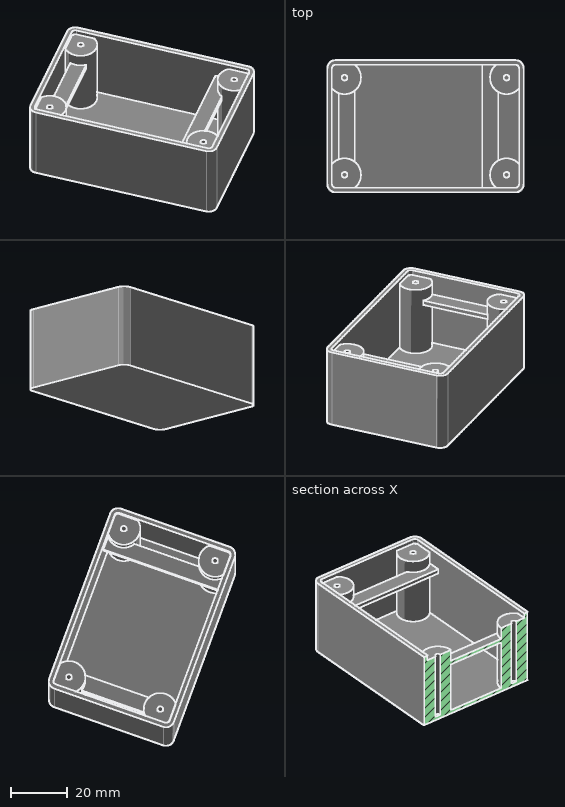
import cadquery as cq

length = 69.0
width = 46.5
height = 28.8
corner_radius = 3.0
wall = 1.65
floor = 1.65
inner_radius = corner_radius - wall

post_radius = 5.8
post_inset_x = 6.1
post_inset_y = 6.2
post_top = height - 1.85
screw_hole_diameter = 2.0
screw_hole_bottom = floor

bar_width = 5.6
bar_thickness = 1.7
bar_top = post_top - 4.55
left_bar_start = 4.1
right_bar_start = 54.45


def rounded_block(inset, bottom, top, radius):
    """Upright block, inset evenly from the outer walls, with rounded corners."""
    block = cq.Workplane("XY").box(
        length - 2 * inset, width - 2 * inset, top - bottom, centered=False
    )
    return block.edges("|Z").fillet(radius).translate((inset, inset, bottom))


def cross_bar(start):
    """Flat bar spanning the width, its ends merged into the long walls."""
    bar = cq.Workplane("XY").box(bar_width, width - wall, bar_thickness, centered=False)
    return bar.translate((start, wall / 2, bar_top - bar_thickness))


def post_cylinders(radius, bottom, top):
    """One upright cylinder on each corner post axis."""
    points = [
        (x, y)
        for x in (post_inset_x, length - post_inset_x)
        for y in (post_inset_y, width - post_inset_y)
    ]
    plane = cq.Workplane("XY").workplane(offset=bottom)
    return plane.pushPoints(points).circle(radius).extrude(top - bottom)


outer = rounded_block(0, 0, height, corner_radius)
cavity = rounded_block(wall, floor, height, inner_radius)
posts = post_cylinders(post_radius, floor / 2, post_top).intersect(outer)
screw_holes = post_cylinders(screw_hole_diameter / 2, screw_hole_bottom, post_top)

result = outer.cut(cavity).union(posts)
for bar_start in (left_bar_start, right_bar_start):
    result = result.union(cross_bar(bar_start))
result = result.cut(screw_holes)